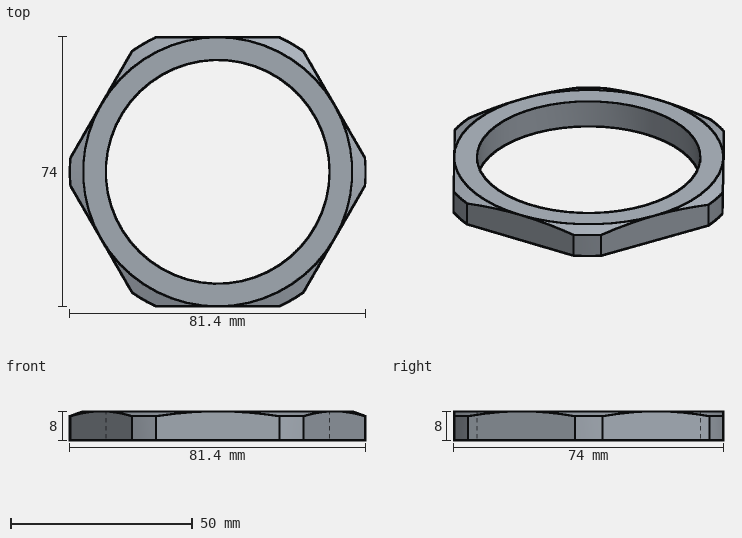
import cadquery as cq
import math

corner_diameter = 81.4
across_flats = 74.0
bore_diameter = 61.5
thickness = 8.0
chamfer_angle = 20.0

corner_radius = corner_diameter / 2
top_face_radius = across_flats / 2
chamfer_drop = (corner_radius - top_face_radius) * math.tan(math.radians(chamfer_angle))
hexagon_diameter = across_flats / math.cos(math.radians(30))


def hexagon_prism():
    """Hexagon with corners on the X axis and flats facing +Y and -Y."""
    return cq.Workplane("XY").polygon(6, hexagon_diameter).extrude(thickness)


def chamfered_disc():
    """Turned blank that rounds the corners and bevels them at the top."""
    return (
        cq.Workplane("XZ")
        .lineTo(corner_radius, 0)
        .lineTo(corner_radius, thickness - chamfer_drop)
        .lineTo(top_face_radius, thickness)
        .lineTo(0, thickness)
        .close()
        .revolve(360, (0, 0), (0, 1))
    )


def bore():
    """Through hole along Z."""
    return cq.Workplane("XY").circle(bore_diameter / 2).extrude(thickness)


result = hexagon_prism().intersect(chamfered_disc()).cut(bore())